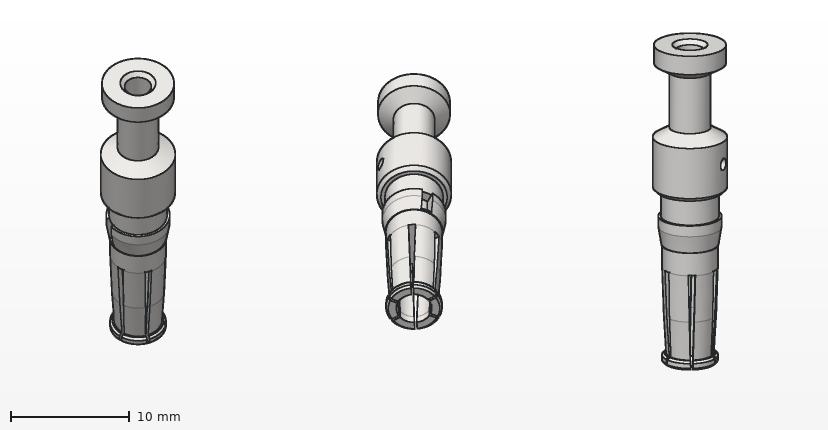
import cadquery as cq

total_length = 28.25
head_bottom = 26.6
neck_top = 25.85
neck_bottom = 20.9
body_top = 20.05
body_bottom = 15.6
shank_top = 15.25
collar_top = 13.0
collar_cone_top = 12.05
collar_bottom = 10.48
finger_top = 8.48
finger_bend = 4.3
lip_top = 0.82

head_radius = 3.05
neck_radius = 1.75
body_diameter = 6.3
body_radius = body_diameter / 2
body_chamfer_radius = 2.8
shank_radius = 2.45
collar_radius = 2.68
collar_foot_radius = 2.43
sleeve_radius = 2.37
finger_bend_radius = 2.23
finger_tip_radius = 2.03
lip_chamfer = 0.2

cup_mouth_radius = 1.5
cup_radius = 1.13
cup_mouth_depth = 0.4
cup_floor = 16.1
cup_tip_drop = 0.65

inspection_radius = 0.5
inspection_height = 18.05

key_width = 0.95
key_bottom = 10.68
key_floor_radius = 1.7

finger_count = 6
finger_wall = 0.55
slit_root_width = 0.6
slit_tip_width = 0.2


def revolve_profile(points):
    """Revolve a closed (radius, height) outline about Z."""
    return cq.Workplane("XZ").polyline(points).close().revolve(360, (0, 0), (0, 1))


def make_turned_body():
    """Revolve the outer profile about Z."""
    profile = [
        (0, 0),
        (sleeve_radius - lip_chamfer, 0),
        (sleeve_radius, lip_chamfer),
        (sleeve_radius, lip_top - lip_chamfer),
        (sleeve_radius - lip_chamfer, lip_top),
        (finger_tip_radius, lip_top),
        (finger_bend_radius, finger_bend),
        (sleeve_radius, finger_top),
        (sleeve_radius, collar_bottom),
        (collar_foot_radius, collar_bottom),
        (collar_radius, collar_cone_top),
        (collar_radius, collar_top),
        (shank_radius, collar_top),
        (shank_radius, shank_top),
        (body_chamfer_radius, shank_top),
        (body_radius, body_bottom),
        (body_radius, body_top),
        (neck_radius, neck_bottom),
        (neck_radius, neck_top),
        (head_radius, head_bottom),
        (head_radius, total_length),
        (0, total_length),
    ]
    return revolve_profile(profile)


def make_wire_cup():
    """Blind drilled cup with a countersunk mouth and a conical floor."""
    return revolve_profile([
        (0, cup_floor - cup_tip_drop),
        (cup_radius, cup_floor),
        (cup_radius, total_length - cup_mouth_depth),
        (cup_mouth_radius, total_length),
        (0, total_length),
    ])


def make_inspection_hole():
    """Radial hole on the -X side that runs into the wire cup."""
    return (
        cq.Workplane("YZ")
        .center(0, inspection_height)
        .circle(inspection_radius)
        .extrude(-body_radius)
    )


def make_key_slot():
    """Slot on the -Y side of the collar, cut down to a round core."""
    height = collar_top - key_bottom
    base = cq.Workplane("XY", origin=(0, 0, key_bottom))
    slot = base.center(0, -collar_radius / 2).rect(key_width, collar_radius).extrude(height)
    core = base.circle(key_floor_radius).extrude(height)
    return slot.cut(core)


def make_socket_bore():
    """Bore that follows the two tapers of the fingers, straight through the lip."""
    tip_bore_radius = finger_tip_radius - finger_wall
    return revolve_profile([
        (0, 0),
        (tip_bore_radius, 0),
        (tip_bore_radius, lip_top),
        (finger_bend_radius - finger_wall, finger_bend),
        (sleeve_radius - finger_wall, finger_top),
        (0, finger_top),
    ])


def make_slit(angle):
    """Slit between two fingers, narrowing towards the open end."""
    outline = [
        (-slit_tip_width / 2, 0),
        (slit_tip_width / 2, 0),
        (slit_root_width / 2, finger_top),
        (-slit_root_width / 2, finger_top),
    ]
    slit = cq.Workplane("YZ").polyline(outline).close().extrude(body_radius)
    return slit.rotate((0, 0, 0), (0, 0, 1), angle)


result = (
    make_turned_body()
    .cut(make_wire_cup())
    .cut(make_inspection_hole())
    .cut(make_key_slot())
    .cut(make_socket_bore())
)
for index in range(finger_count):
    result = result.cut(make_slit(index * 360 / finger_count))